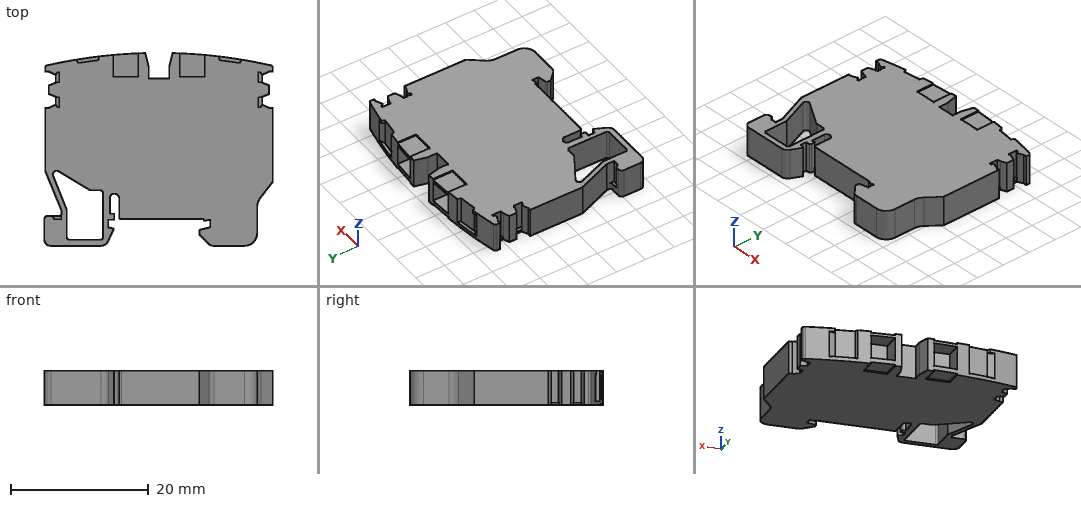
import cadquery as cq

THICKNESS = 5.0
HEIGHT = 28.02
RIGHT_X = 33.2
CENTRE_X = 16.65
HALF_WIDTH = RIGHT_X - CENTRE_X
LEFT_X = CENTRE_X - HALF_WIDTH
LEFT_SIDE_LOW_Y = 10.92
RIGHT_SIDE_LOW_Y = 9.33

CROWN_END_Y = 26.15
CROWN_APEX_Y = HEIGHT + 0.025
ABOVE_CROWN_Y = HEIGHT + 0.33
CROWN_CORNER_RADIUS = 0.4

GAP_HALF_WIDTH = 1.45
GAP_MOUTH_HALF_WIDTH = 2.05
GAP_FLOOR_Y = 24.35
GAP_FLARE_Y = 25.95

TOOTH_Y = 22.68
TOOTH_TIP_INSET = 0.53
TOOTH_HALF_HEIGHT = 0.63
NOTCH_INSET = 1.53
NOTCH_INNER = 1.03
NOTCH_OUTER = 2.15
NOTCH_MOUTH = 2.62
POCKET_INSET = 2.1
POCKET_INNER = NOTCH_INNER + 0.1
POCKET_OUTER = NOTCH_MOUTH - 0.05
POCKET_BEVEL = 0.25
WEB_THICKNESS = 0.35

MARKER_FLOOR_Z = 0.6
MARKER_RAMP_TOP_Z = 4.48

WINDOW_INNER = 3.0
WINDOW_OUTER = 6.65
WINDOW_BOTTOM_Y = 24.57
WINDOW_RECESS = 0.2
ENTRY_LOW_Z = 0.85
ENTRY_HIGH_Z = 4.38

RAIL_SEAT_Y = 3.9
GROOVE_TOP_Y = 3.8
GROOVE_BOTTOM_Y = 2.72
LEG_LEFT_X = 9.33
SLIT_LEFT_X = 9.6
SLIT_RIGHT_X = 10.9
SLIT_TOP_Y = 7.57
NUB_X = 10.2
NUB_TOP_Y = 4.7
LIP_X = 10.15
LIP_Y = 2.52
LEG_TOE_X = 8.95
FOOT_GROOVE_X = 24.1
FOOT_TIP_X = 22.55
FOOT_TIP_LOW_Y = 1.63
FOOT_TIP_HIGH_Y = 2.35
FOOT_TOE_X = 24.17
FOOT_RIGHT_X = 30.95
FOOT_SHOULDER_Y = 6.4
STOP_RIB_X = 23.15
STOP_RIB_WIDTH = 0.33
STOP_RIB_Y = 3.7

LATCH_TOP_Y = 4.38
ARM_X = 2.5
ARM_BEND_Y = 5.18
LATCH_RECESS_Z = 1.1


def plate(points, low_z=0.0, high_z=THICKNESS):
    """Straight-sided prism standing between two heights."""
    return cq.Workplane("XY").workplane(offset=low_z).polyline(points).close().extrude(high_z - low_z)


def block(x1, x2, y1, y2, low_z, high_z):
    """Axis-aligned box between two corners."""
    return plate([(x1, y1), (x2, y1), (x2, y2), (x1, y2)], low_z, high_z)


def round_corners(body, corners):
    """Fillet the vertical edges that stand at the given (x, y, radius) corners."""
    for x, y, radius in corners:
        edge = cq.selectors.NearestToPointSelector((x, y, THICKNESS / 2))
        body = body.edges("|Z").edges(edge).fillet(radius)
    return body


def both_sides(tool):
    """A left-hand tool together with its mirror image across the centre line."""
    return tool.union(tool.mirror("YZ", (CENTRE_X, 0, 0)))


def make_body():
    """Solid housing outline with rounded corners, before any cuts."""
    crown_left = (LEFT_X, CROWN_END_Y)
    crown_right = (RIGHT_X, CROWN_END_Y)
    body = (
        cq.Workplane("XY")
        .moveTo(0, 0)
        .lineTo(LEG_TOE_X, 0)
        .lineTo(LIP_X, LIP_Y)
        .lineTo(LEG_LEFT_X, GROOVE_BOTTOM_Y)
        .lineTo(LEG_LEFT_X, GROOVE_TOP_Y)
        .lineTo(NUB_X, GROOVE_TOP_Y)
        .lineTo(NUB_X, NUB_TOP_Y)
        .lineTo(SLIT_LEFT_X, NUB_TOP_Y)
        .lineTo(SLIT_LEFT_X, SLIT_TOP_Y)
        .lineTo(SLIT_RIGHT_X, SLIT_TOP_Y)
        .lineTo(SLIT_RIGHT_X, RAIL_SEAT_Y)
        .lineTo(STOP_RIB_X, RAIL_SEAT_Y)
        .lineTo(STOP_RIB_X, STOP_RIB_Y)
        .lineTo(STOP_RIB_X + STOP_RIB_WIDTH, STOP_RIB_Y)
        .lineTo(FOOT_GROOVE_X, GROOVE_TOP_Y)
        .lineTo(FOOT_GROOVE_X, GROOVE_BOTTOM_Y)
        .lineTo(FOOT_TIP_X, FOOT_TIP_HIGH_Y)
        .lineTo(FOOT_TIP_X, FOOT_TIP_LOW_Y)
        .lineTo(FOOT_TOE_X, 0)
        .lineTo(FOOT_RIGHT_X, 0)
        .lineTo(FOOT_RIGHT_X, FOOT_SHOULDER_Y)
        .lineTo(RIGHT_X, RIGHT_SIDE_LOW_Y)
        .lineTo(*crown_right)
        .threePointArc((CENTRE_X, CROWN_APEX_Y), crown_left)
        .lineTo(LEFT_X, LEFT_SIDE_LOW_Y)
        .lineTo(ARM_X, ARM_BEND_Y)
        .lineTo(ARM_X, LATCH_TOP_Y)
        .lineTo(0, LATCH_TOP_Y)
        .close()
        .extrude(THICKNESS)
    )
    return round_corners(body, [
        (0, 0, 0.95),
        (LEG_TOE_X, 0, 1.15),
        (LIP_X, LIP_Y, 0.13),
        (NUB_X, GROOVE_TOP_Y, 0.15),
        (NUB_X, NUB_TOP_Y, 0.13),
        (SLIT_LEFT_X, SLIT_TOP_Y, 0.53),
        (SLIT_RIGHT_X, SLIT_TOP_Y, 0.7),
        (SLIT_RIGHT_X, RAIL_SEAT_Y, 0.3),
        (FOOT_TIP_X, FOOT_TIP_HIGH_Y, 0.13),
        (FOOT_TOE_X, 0, 1.0),
        (FOOT_RIGHT_X, 0, 1.9),
        (FOOT_RIGHT_X, FOOT_SHOULDER_Y, 2.32),
        (*crown_right, CROWN_CORNER_RADIUS),
        (*crown_left, CROWN_CORNER_RADIUS),
        (ARM_X, LATCH_TOP_Y, 0.25),
        (0, LATCH_TOP_Y, 0.55),
    ])


def make_latch_opening():
    """Through opening that leaves the thin latch arm standing."""
    left_x, right_x = 3.32, 8.53
    bottom_y, top_y = 0.93, 8.07
    bend_y = 5.25
    tip = (0.73, 11.65)
    slope_end = (6.67, top_y)
    corner_radius = 0.33
    opening = plate([
        (left_x, bottom_y), (right_x, bottom_y), (right_x, top_y),
        slope_end, tip, (left_x, bend_y),
    ])
    return round_corners(opening, [
        (left_x, bottom_y, corner_radius),
        (right_x, bottom_y, corner_radius),
        (right_x, top_y, 0.4),
        (*slope_end, 0.5),
        (*tip, 0.53),
    ])


def make_latch_recess():
    """Recess in the latch beside the arm, open to the upper face."""
    left_x, floor_left_x = 1.13, 1.5
    floor_y = LATCH_TOP_Y - 0.5
    top_y = LATCH_TOP_Y + 0.25
    return plate([
        (left_x, LATCH_TOP_Y), (floor_left_x, floor_y), (ARM_X, floor_y), (ARM_X, top_y), (left_x, top_y),
    ], LATCH_RECESS_Z)


def make_gap():
    """Central gap with a parallel bottom and a flared mouth."""
    points = [
        (GAP_HALF_WIDTH, GAP_FLOOR_Y),
        (GAP_HALF_WIDTH, GAP_FLARE_Y),
        (GAP_MOUTH_HALF_WIDTH, ABOVE_CROWN_Y),
    ]
    right = [(CENTRE_X + x, y) for x, y in points]
    left = [(CENTRE_X - x, y) for x, y in reversed(points)]
    return plate(right + left)


def make_side_notches():
    """Four notches around the side teeth; each deepens above a thin web."""
    tools = block(LEFT_X, LEFT_X + TOOTH_TIP_INSET, TOOTH_Y - TOOTH_HALF_HEIGHT,
                  TOOTH_Y + TOOTH_HALF_HEIGHT, 0, THICKNESS)
    for up in (1, -1):
        def at(inset, rise):
            return (LEFT_X + inset, TOOTH_Y + up * rise)
        notch = plate([
            at(0, TOOTH_HALF_HEIGHT), at(TOOTH_TIP_INSET, TOOTH_HALF_HEIGHT),
            at(NOTCH_INSET, NOTCH_INNER), at(NOTCH_INSET, NOTCH_OUTER),
            at(TOOTH_TIP_INSET, NOTCH_MOUTH), at(0, NOTCH_MOUTH),
        ])
        pocket = plate([
            at(NOTCH_INSET, NOTCH_INNER), at(POCKET_INSET, POCKET_INNER),
            at(POCKET_INSET, POCKET_OUTER), at(POCKET_INSET - POCKET_BEVEL, POCKET_OUTER),
            at(NOTCH_INSET, NOTCH_OUTER),
        ], WEB_THICKNESS)
        tools = tools.union(notch).union(pocket)
    return both_sides(tools)


def make_marker_slots():
    """Slots that follow the crown, each with a buried ramp at its outer end."""
    outer_x, inner_x, ramp_x = 4.65, 8.07, 3.9
    outer_floor = (4.95, 26.55)
    inner_floor = (7.85, 26.95)
    slot = plate([
        (outer_x, 27.1), outer_floor, inner_floor, (inner_x, 27.62),
        (inner_x, ABOVE_CROWN_Y), (outer_x, ABOVE_CROWN_Y),
    ], MARKER_FLOOR_Z)
    ramp = plate([
        (ramp_x, 26.85), outer_floor, (outer_floor[0], ABOVE_CROWN_Y), (ramp_x, ABOVE_CROWN_Y),
    ], MARKER_FLOOR_Z, MARKER_RAMP_TOP_Z)
    return both_sides(slot.union(ramp))


def make_windows():
    """Shallow recesses on both faces with a wire entry between them, open at the crown."""
    left, right = CENTRE_X - WINDOW_OUTER, CENTRE_X - WINDOW_INNER
    tool = block(left, right, WINDOW_BOTTOM_Y, ABOVE_CROWN_Y, ENTRY_LOW_Z, ENTRY_HIGH_Z)
    for low_z in (0, THICKNESS - WINDOW_RECESS):
        recess = block(left, right, WINDOW_BOTTOM_Y, ABOVE_CROWN_Y, low_z, low_z + WINDOW_RECESS)
        tool = tool.union(recess)
    return both_sides(tool)


result = make_body()
for cutter in (
    make_latch_opening(), make_latch_recess(), make_gap(),
    make_side_notches(), make_marker_slots(), make_windows(),
):
    result = result.cut(cutter)